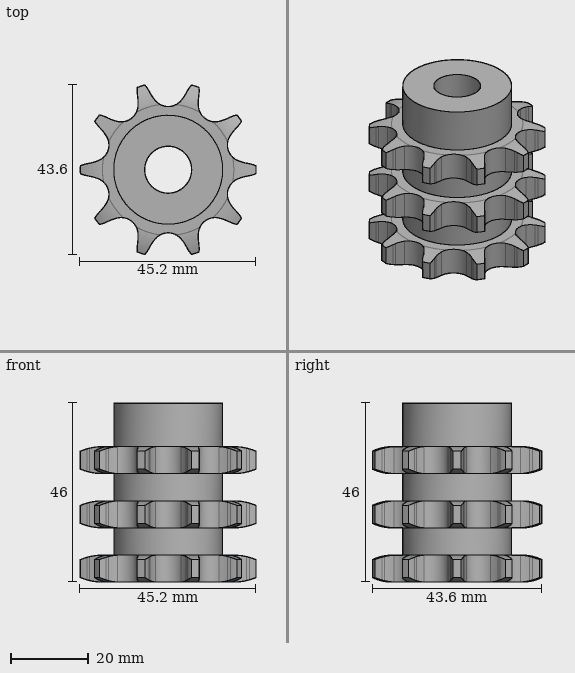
import cadquery as cq
import math


TEETH = 10
CHAIN_PITCH = 12.7
ROLLER_DIA = 8.5
TIP_DIA = 45.2
TOTAL_HEIGHT = 46.0
HUB_DIA = 28.0
BORE_DIA = 12.0
STRANDS = 3
STRAND_SPACING = 13.95
DISC_THICKNESS = 7.0
FLAT_FACE_DIA = 33.75
TIP_FACE_DROP = 1.2

PITCH_ANGLE = 360 / TEETH
PITCH_RADIUS = CHAIN_PITCH / 2 / math.sin(math.radians(PITCH_ANGLE / 2))
SEAT_CLEARANCE = 0.035
SEAT_RADIUS = (1.005 * ROLLER_DIA + SEAT_CLEARANCE) / 2
SEAT_END_ANGLE = 35 + 60 / TEETH
WORKING_SWEEP = 18 - 56 / TEETH
WORKING_CENTRE_OFFSET = 0.8 * ROLLER_DIA
TOPPING_CENTRE_OFFSET = 1.4 * ROLLER_DIA


def polar(centre, radius, degrees):
    """Point at a given radius and direction from a centre."""
    angle = math.radians(degrees)
    return centre[0] + radius * math.cos(angle), centre[1] + radius * math.sin(angle)


def mirrored(point):
    """Reflect a point across the centre line of the tooth gap, which is the X axis."""
    return point[0], -point[1]


def tooth_gap():
    """Space between two teeth, centred on +X: seat, working arcs, short flats and topping arcs."""
    seat_centre = (PITCH_RADIUS, 0)
    seat_bottom = (PITCH_RADIUS - SEAT_RADIUS, 0)

    seat_end_direction = 90 + SEAT_END_ANGLE
    flat_direction = seat_end_direction - WORKING_SWEEP
    seat_end = polar(seat_centre, SEAT_RADIUS, seat_end_direction)
    working_centre = polar(seat_centre, -WORKING_CENTRE_OFFSET, seat_end_direction)
    working_radius = WORKING_CENTRE_OFFSET + SEAT_RADIUS
    working_mid = polar(working_centre, working_radius, seat_end_direction - WORKING_SWEEP / 2)
    working_end = polar(working_centre, working_radius, flat_direction)

    topping_centre = polar(seat_centre, TOPPING_CENTRE_OFFSET, 90 + PITCH_ANGLE / 2)
    normal = math.radians(flat_direction)
    topping_radius = (
        (topping_centre[0] - working_end[0]) * math.cos(normal)
        + (topping_centre[1] - working_end[1]) * math.sin(normal)
    )
    topping_start = polar(topping_centre, -topping_radius, flat_direction)

    tip_radius = TIP_DIA / 2
    centre_distance = math.hypot(*topping_centre)
    centre_direction = math.degrees(math.atan2(topping_centre[1], topping_centre[0]))
    tip_offset = math.degrees(math.acos(
        (tip_radius**2 + centre_distance**2 - topping_radius**2) / (2 * tip_radius * centre_distance)
    ))
    tip = polar((0, 0), tip_radius, centre_direction - tip_offset)
    start_direction = flat_direction - 180
    tip_direction = math.degrees(math.atan2(tip[1] - topping_centre[1], tip[0] - topping_centre[0]))
    topping_mid = polar(topping_centre, topping_radius, (start_direction + tip_direction) / 2)
    beyond_tip = (TIP_DIA, tip[1])

    return (
        cq.Workplane("XY")
        .moveTo(*beyond_tip)
        .lineTo(*tip)
        .threePointArc(topping_mid, topping_start)
        .lineTo(*working_end)
        .threePointArc(working_mid, seat_end)
        .threePointArc(seat_bottom, mirrored(seat_end))
        .threePointArc(mirrored(working_mid), mirrored(working_end))
        .lineTo(*mirrored(topping_start))
        .threePointArc(mirrored(topping_mid), mirrored(tip))
        .lineTo(*mirrored(beyond_tip))
        .close()
        .extrude(DISC_THICKNESS)
    )


def disc_blank():
    """Revolved disc whose faces curve inward, tangent to the flat, towards the tip."""
    flat_radius = FLAT_FACE_DIA / 2
    tip_radius = TIP_DIA / 2
    lower_tip = (tip_radius, TIP_FACE_DROP)
    upper_tip = (tip_radius, DISC_THICKNESS - TIP_FACE_DROP)
    upper_flat_end = (flat_radius, DISC_THICKNESS)
    face_radius = ((tip_radius - flat_radius)**2 + TIP_FACE_DROP**2) / (2 * TIP_FACE_DROP)
    return (
        cq.Workplane("XZ")
        .moveTo(0, 0)
        .lineTo(flat_radius, 0)
        .radiusArc(lower_tip, -face_radius)
        .lineTo(*upper_tip)
        .radiusArc(upper_flat_end, -face_radius)
        .lineTo(0, DISC_THICKNESS)
        .close()
        .revolve(360, (0, 0, 0), (0, 1, 0))
    )


def toothed_disc():
    """One sprocket disc with teeth centred on +X and -X."""
    disc = disc_blank()
    gap = tooth_gap()
    for index in range(TEETH):
        angle = (index + 0.5) * PITCH_ANGLE
        disc = disc.cut(gap.rotate((0, 0, 0), (0, 0, 1), angle))
    return disc


def sprocket():
    """Hub with the discs spaced up from its base, and a bore through everything."""
    body = cq.Workplane("XY").circle(HUB_DIA / 2).extrude(TOTAL_HEIGHT)
    disc = toothed_disc()
    for strand in range(STRANDS):
        body = body.union(disc.translate((0, 0, strand * STRAND_SPACING)))
    bore = cq.Workplane("XY").circle(BORE_DIA / 2).extrude(TOTAL_HEIGHT)
    return body.cut(bore)


result = sprocket()